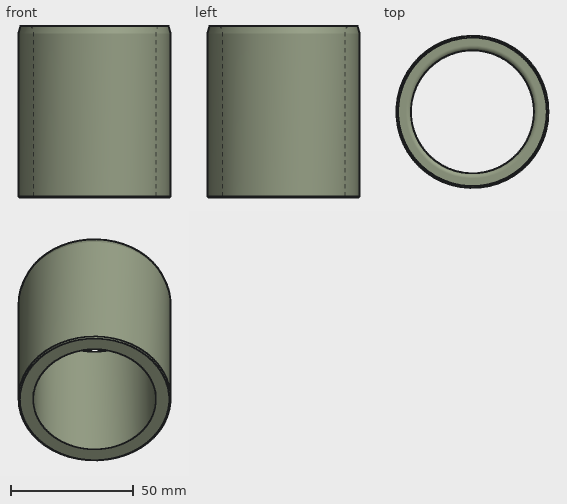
import cadquery as cq
import math

length = 70.0
outer_diameter = 62.0
bore_diameter = 50.0

lead_in_height = 3.0
lead_in_angle = 15.0
bore_mouth_radius = 2.0
bottom_chamfer = 0.6

outer_radius = outer_diameter / 2
bore_radius = bore_diameter / 2
lead_in_depth = lead_in_height * math.tan(math.radians(lead_in_angle))


def sleeve():
    """Plain tube standing on the XY plane, centred on Z."""
    return cq.Workplane("XY").circle(outer_radius).circle(bore_radius).extrude(length)


def round_bore_mouth(body):
    """Round the top edge of the bore."""
    bore_edge = cq.selectors.RadiusNthSelector(0)
    return body.faces(">Z").edges(bore_edge).fillet(bore_mouth_radius)


def taper_top_rim(body):
    """Cut the shallow conical lead-in around the top of the outside."""
    taper = (
        cq.Workplane("XZ")
        .moveTo(outer_radius, length - lead_in_height)
        .lineTo(outer_radius, length)
        .lineTo(outer_radius - lead_in_depth, length)
        .close()
        .revolve(360, (0, 0, 0), (0, 1, 0))
    )
    return body.cut(taper)


def chamfer_bottom_rim(body):
    """Break the outer bottom edge with a small chamfer."""
    outer_edge = cq.selectors.RadiusNthSelector(-1)
    return body.faces("<Z").edges(outer_edge).chamfer(bottom_chamfer)


result = chamfer_bottom_rim(taper_top_rim(round_bore_mouth(sleeve())))